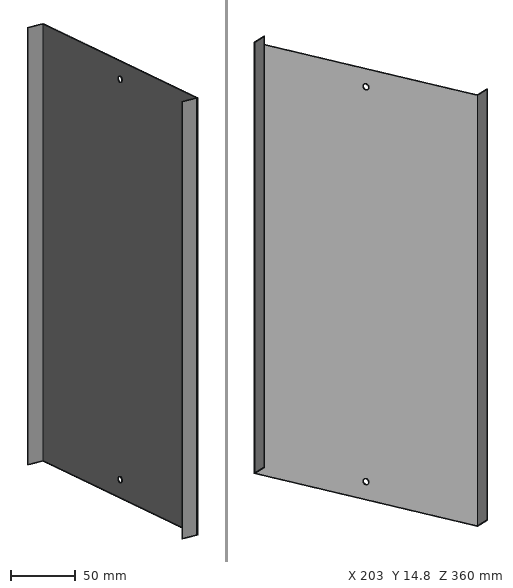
import cadquery as cq

width = 203.0
depth = 14.8
height = 360.0

thickness = 0.7

hole_diameter = 5.0
hole_edge_distance = 15.0


def channel():
    """U-shaped sheet: a back panel with two side flanges pointing to -Y."""
    outer = cq.Workplane("XY").box(width, depth, height)
    inner = cq.Workplane("XY").box(width - 2 * thickness, depth, height)
    return outer.cut(inner.translate((0, -thickness, 0)))


def mounting_holes():
    """Two cylinders along Y, near the top and bottom edges of the panel."""
    hole_offset = height / 2 - hole_edge_distance
    return (
        cq.Workplane("XZ")
        .pushPoints([(0, hole_offset), (0, -hole_offset)])
        .circle(hole_diameter / 2)
        .extrude(depth, both=True)
    )


result = channel().cut(mounting_holes())